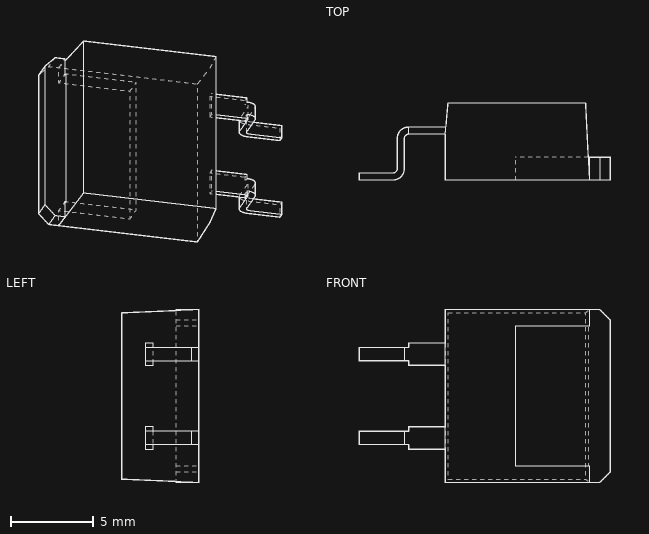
import cadquery as cq


total_length = 15.24
total_depth = 4.7
total_width = 10.5

tab_thickness = 1.4
tab_overhang = 1.26
tab_chamfer = 0.64
pad_length = 4.5
pad_width = 8.49

lead_spacing = 5.09
lead_thickness = 0.44
lead_narrow_width = 0.82
lead_wide_width = 1.37
lead_top = 3.23
lead_riser_start = 2.3
bend_outer_radius = 0.7

housing_start = 5.21
housing_end = total_length - tab_overhang
start_face_draft = 0.17
end_face_draft = 0.23
side_draft = 0.2

bend_inner_radius = bend_outer_radius - lead_thickness
lead_bottom = lead_top - lead_thickness
lead_riser_end = lead_riser_start + lead_thickness
shoulder_start = lead_riser_start + bend_outer_radius
parting_depth = lead_bottom
lead_trim_end = housing_start + start_face_draft


def make_tab():
    """Chamfered full-width edge with a narrower pad reaching under the housing."""
    edge = (
        cq.Workplane("XY")
        .box(tab_overhang, tab_thickness, total_width, centered=(False, False, True))
        .edges(">X and |Y")
        .chamfer(tab_chamfer)
        .translate((housing_end, 0, 0))
    )
    pad = (
        cq.Workplane("XY")
        .box(pad_length, tab_thickness, pad_width, centered=(False, False, True))
        .translate((housing_end - pad_length, 0, 0))
    )
    return edge.union(pad)


def make_housing(tab):
    """Drafted block, straight below the parting line on the lead side, recessed for the tab."""
    side_profile = (
        cq.Workplane("XY")
        .moveTo(housing_start, 0)
        .lineTo(housing_end, 0)
        .lineTo(housing_end - end_face_draft, total_depth)
        .lineTo(housing_start + start_face_draft, total_depth)
        .lineTo(housing_start, parting_depth)
        .close()
        .extrude(total_width / 2, both=True)
    )
    half_width = total_width / 2
    back_half_width = half_width - side_draft
    end_profile = (
        cq.Workplane("YZ")
        .moveTo(0, -half_width)
        .lineTo(total_depth, -back_half_width)
        .lineTo(total_depth, back_half_width)
        .lineTo(0, half_width)
        .close()
        .extrude(total_length)
    )
    return side_profile.intersect(end_profile).cut(tab)


def make_lead(center_z, housing):
    """Gull-wing lead with a wide shank that ends flush against the drafted housing face."""
    bent_strip = (
        cq.Workplane("XY")
        .lineTo(lead_riser_end - bend_outer_radius, 0)
        .radiusArc((lead_riser_end, bend_outer_radius), -bend_outer_radius)
        .lineTo(lead_riser_end, lead_bottom - bend_inner_radius)
        .radiusArc((shoulder_start, lead_bottom), bend_inner_radius)
        .lineTo(shoulder_start, lead_top)
        .radiusArc((lead_riser_start, lead_top - bend_outer_radius), -bend_outer_radius)
        .lineTo(lead_riser_start, lead_thickness + bend_inner_radius)
        .radiusArc((lead_riser_start - bend_inner_radius, lead_thickness), bend_inner_radius)
        .lineTo(0, lead_thickness)
        .close()
        .extrude(lead_narrow_width / 2, both=True)
    )
    shank_length = lead_trim_end - shoulder_start
    shank = (
        cq.Workplane("XY")
        .box(shank_length, lead_thickness, lead_wide_width, centered=(False, False, True))
        .translate((shoulder_start, lead_bottom, 0))
    )
    return bent_strip.union(shank).translate((0, 0, center_z)).cut(housing)


tab = make_tab()
housing = make_housing(tab)
leads = []
for center_z in (-lead_spacing / 2, lead_spacing / 2):
    leads.append(make_lead(center_z, housing).val())

result = cq.Compound.makeCompound([housing.val(), tab.val(), *leads])